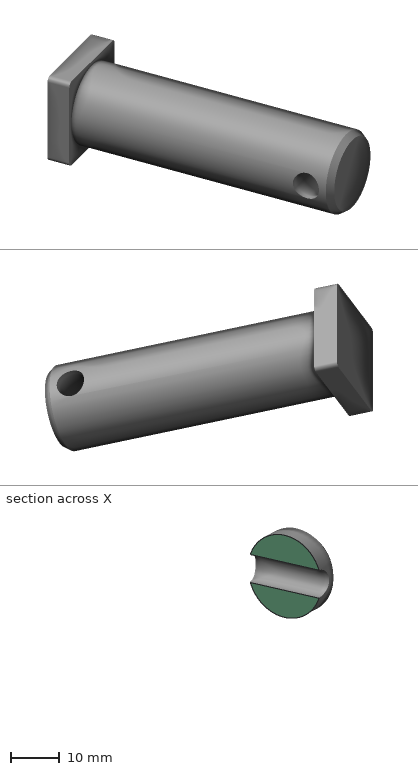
import cadquery as cq
import math

head_side = 20.0
head_thickness = 5.0
head_corner_radius = 1.0

overall_length = 65.0
shank_diameter = 18.0

lead_in_depth = 1.0
lead_in_angle = 35.0
lead_in_length = lead_in_depth / math.tan(math.radians(lead_in_angle))

cross_hole_diameter = 6.0
cross_hole_end_distance = 6.0
cross_hole_x = overall_length - cross_hole_end_distance


def make_head():
    """Square plate with rounded corners, outer face on the YZ plane."""
    plate = cq.Workplane("YZ").rect(head_side, head_side).extrude(head_thickness)
    return plate.edges("|X").fillet(head_corner_radius)


def make_shank():
    """Cylinder with a conical lead-in, revolved about the X axis."""
    shank_radius = shank_diameter / 2
    tip_radius = shank_radius - lead_in_depth
    half_profile = (
        cq.Workplane("XY")
        .moveTo(head_thickness, 0)
        .lineTo(head_thickness, shank_radius)
        .lineTo(overall_length - lead_in_length, shank_radius)
        .lineTo(overall_length, tip_radius)
        .lineTo(overall_length, 0)
        .close()
    )
    return half_profile.revolve(360, (0, 0, 0), (1, 0, 0))


def make_cross_hole():
    """Cylinder that passes right through the shank along Y."""
    return (
        cq.Workplane("XZ")
        .center(cross_hole_x, 0)
        .circle(cross_hole_diameter / 2)
        .extrude(shank_diameter, both=True)
    )


result = make_head().union(make_shank()).cut(make_cross_hole())